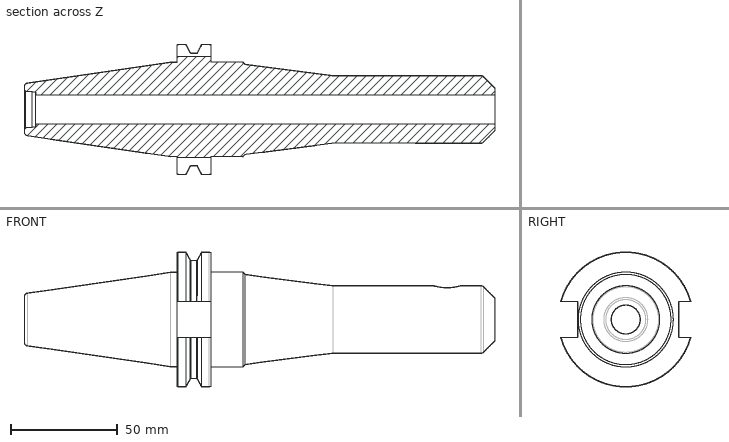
import cadquery as cq
import math

total_length = 220.6

gauge_radius = 44.4 / 2
gauge_x = 68.5
taper_slope = 7 / 48
nose_radius = gauge_radius - gauge_x * taper_slope
nose_fillet = 1.8

flange_radius = 63.3 / 2
flange_start = 71.5
flange_end = 87.5
flange_front_chamfer = 0.5
flange_rear_chamfer = 1.0
flange_rear_drop = 0.2
groove_center = 79.5
groove_floor_width = 3.0
groove_depth = 4.0
groove_half_angle = 28.0
groove_root_fillet = 0.5

slot_width = 16.8
slot_floor_front = 22.5
slot_floor_back = 25.0

collar_radius = 22.3
collar_end = 102.4
collar_chamfer = 1.0
neck_end = 144.5
shank_radius = 31.8 / 2
shank_chamfer = 6.0
shank_shoulder_fillet = 1.8
shank_tip_fillet = 1.3

bore_diameter = 13.5
mouth_diameter = 16.8
mouth_chamfer = 0.7
mouth_depth = 3.5
step_diameter = 16.3
step_depth = 5.3

screw_x = 198.1
screw_diameter = 9.7
screw_sink_diameter = 12.8


def revolve_about_x(profile):
    return profile.close().revolve(360, (0, 0, 0), (1, 0, 0))


def fillet_circle(body, x, radius, fillet):
    """Round the circular edge of the given radius that lies around the X axis at x."""
    margin = 0.02
    box = cq.selectors.BoxSelector(
        (x - margin, -radius - margin, -radius - margin),
        (x + margin, radius + margin, radius + margin),
        boundingbox=True,
    )
    return body.edges(box).edges(cq.selectors.RadiusNthSelector(-1)).fillet(fillet)


def make_body():
    neck_start = collar_end + collar_chamfer
    shoulder_x = total_length - shank_chamfer
    tip_radius = shank_radius - shank_chamfer
    profile = (
        cq.Workplane("XY")
        .moveTo(0, 0)
        .lineTo(0, nose_radius)
        .lineTo(gauge_x, gauge_radius)
        .lineTo(flange_start, gauge_radius)
        .lineTo(flange_start, collar_radius)
        .lineTo(collar_end, collar_radius)
        .lineTo(neck_start, collar_radius - collar_chamfer)
        .lineTo(neck_end, shank_radius)
        .lineTo(shoulder_x, shank_radius)
        .lineTo(total_length, tip_radius)
        .lineTo(total_length, 0)
    )
    body = revolve_about_x(profile)
    body = fillet_circle(body, 0, nose_radius, nose_fillet)
    body = fillet_circle(body, shoulder_x, shank_radius, shank_shoulder_fillet)
    return fillet_circle(body, total_length, tip_radius, shank_tip_fillet)


def make_flange():
    floor_radius = flange_radius - groove_depth
    floor_half = groove_floor_width / 2
    mouth_half = floor_half + groove_depth * math.tan(math.radians(groove_half_angle))
    profile = (
        cq.Workplane("XY")
        .moveTo(flange_start, 0)
        .lineTo(flange_start, flange_radius - flange_front_chamfer)
        .lineTo(flange_start + flange_front_chamfer, flange_radius)
        .lineTo(groove_center - mouth_half, flange_radius)
        .lineTo(groove_center - floor_half, floor_radius)
        .lineTo(groove_center + floor_half, floor_radius)
        .lineTo(groove_center + mouth_half, flange_radius)
        .lineTo(flange_end - flange_rear_chamfer, flange_radius)
        .lineTo(flange_end, flange_radius - flange_rear_drop)
        .lineTo(flange_end, 0)
    )
    flange = revolve_about_x(profile)
    for side in (-1, 1):
        flange = fillet_circle(flange, groove_center + side * floor_half, floor_radius, groove_root_fillet)
    return flange.cut(make_slot(-1, slot_floor_front)).cut(make_slot(1, slot_floor_back))


def make_slot(side, floor_distance):
    """Block that clears one drive slot on the -Y (side = -1) or +Y (side = 1) edge."""
    return cq.Workplane("XY").box(
        flange_end - flange_start, flange_radius, slot_width, centered=(False, True, True)
    ).translate((flange_start, side * (floor_distance + flange_radius / 2), 0))


def make_bore():
    mouth_radius = mouth_diameter / 2
    step_radius = step_diameter / 2
    bore_radius = bore_diameter / 2
    profile = (
        cq.Workplane("XY")
        .moveTo(0, 0)
        .lineTo(0, mouth_radius + mouth_chamfer)
        .lineTo(mouth_chamfer, mouth_radius)
        .lineTo(mouth_depth, mouth_radius)
        .lineTo(mouth_depth, step_radius)
        .lineTo(step_depth, step_radius)
        .lineTo(step_depth, bore_radius)
        .lineTo(total_length, bore_radius)
        .lineTo(total_length, 0)
    )
    return revolve_about_x(profile)


def make_screw_hole():
    """Countersunk hole from the top of the shank down to the bore axis."""
    hole_radius = screw_diameter / 2
    sink_radius = screw_sink_diameter / 2
    sink_depth = sink_radius - hole_radius
    profile = (
        cq.Workplane("XZ")
        .moveTo(0, 0)
        .lineTo(hole_radius, 0)
        .lineTo(hole_radius, shank_radius - sink_depth)
        .lineTo(sink_radius, shank_radius)
        .lineTo(0, shank_radius)
        .close()
    )
    return profile.revolve(360, (0, 0, 0), (0, 1, 0)).translate((screw_x, 0, 0))


result = make_body().union(make_flange()).cut(make_bore()).cut(make_screw_hole())